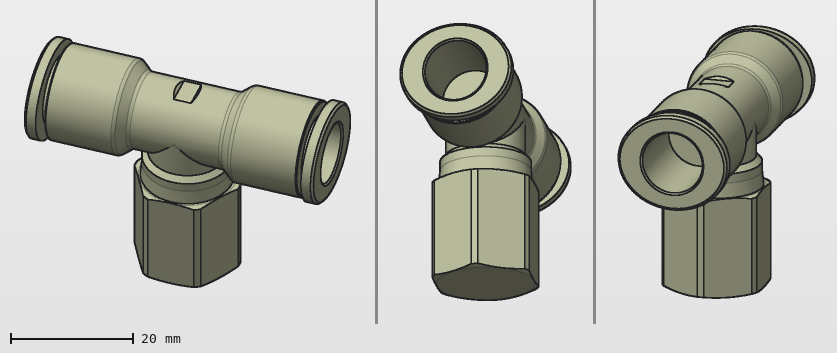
import cadquery as cq
import math

collar_end = 25.0
collar_width_y = 18.5
collar_height_z = 16.1
collar_thickness = 2.05
collar_chamfer = 0.4
neck_radius = 5.85
body_end = 21.8
body_radius = 8.15
body_edge_chamfer = 0.2
shoulder_outer_x = 10.0
shoulder_inner_x = 8.0
shoulder_fillet = 1.0
waist_radius = 6.5
bore_radius = 5.1
bore_chamfer = 0.3
bore_depth = 15.0

notch_floor_z = 6.0
notch_floor_half_length = 1.5
notch_depth = waist_radius - notch_floor_z

flange_radius = 7.45
flange_top_z = -7.25
taper_top_z = -8.75
taper_end_radius = 7.7
hex_top_z = -11.25
hex_bottom_z = -28.2
hex_across_flats = 16.1
hex_across_corner_flats = 17.95
hex_bevel_height = 0.4
flat_to_corner_ratio = math.cos(math.radians(30))


def port():
    """Half of the run on +X: waist, conical shoulder, body, neck, collar and blind bore."""
    collar_start = collar_end - collar_thickness
    turned = (
        cq.Workplane("XZ")
        .lineTo(0, waist_radius)
        .lineTo(shoulder_inner_x, waist_radius)
        .lineTo(shoulder_outer_x, body_radius)
        .lineTo(body_end, body_radius)
        .lineTo(body_end, neck_radius)
        .lineTo(collar_start, neck_radius)
        .lineTo(collar_start, 0)
        .close()
        .revolve(360, (0, 0, 0), (1, 0, 0))
    )
    turned = turned.edges(cq.selectors.RadiusNthSelector(-1)).edges(">X").chamfer(body_edge_chamfer)
    shoulder_zone = cq.selectors.BoxSelector(
        (waist_radius, -collar_width_y, -collar_width_y),
        (shoulder_outer_x + shoulder_fillet, collar_width_y, collar_width_y),
        boundingbox=True,
    )
    turned = turned.edges(shoulder_zone).edges("%CIRCLE").fillet(shoulder_fillet)

    collar = (
        cq.Workplane("YZ", origin=(collar_start, 0, 0))
        .ellipse(collar_width_y / 2, collar_height_z / 2)
        .extrude(collar_thickness)
        .faces(">X")
        .edges()
        .chamfer(collar_chamfer)
    )
    bore = (
        cq.Workplane("YZ", origin=(collar_end, 0, 0))
        .circle(bore_radius)
        .extrude(-bore_depth)
    )
    return turned.union(collar).cut(bore).faces(">X").edges("%CIRCLE").chamfer(bore_chamfer)


def notch():
    """Trapezoidal cutter along Y that leaves a flat on top of the waist."""
    cutter_height = 2 * notch_depth
    top_half_length = notch_floor_half_length + cutter_height
    return (
        cq.Workplane("XZ")
        .moveTo(-notch_floor_half_length, notch_floor_z)
        .lineTo(notch_floor_half_length, notch_floor_z)
        .lineTo(top_half_length, notch_floor_z + cutter_height)
        .lineTo(-top_half_length, notch_floor_z + cutter_height)
        .close()
        .extrude(waist_radius, both=True)
    )


def stem():
    """Round stem of waist radius with a 45 degree flare, a short land and a taper."""
    flare_top_z = flange_top_z + flange_radius - waist_radius
    return (
        cq.Workplane("XZ")
        .lineTo(waist_radius, 0)
        .lineTo(waist_radius, flare_top_z)
        .lineTo(flange_radius, flange_top_z)
        .lineTo(flange_radius, taper_top_z)
        .lineTo(taper_end_radius, hex_top_z)
        .lineTo(0, hex_top_z)
        .close()
        .revolve(360, (0, 0, 0), (0, 1, 0))
    )


def hexagon_prism(across_flats):
    """Hexagonal prism over the full nut height, with corners on the X axis."""
    return (
        cq.Workplane("XY", origin=(0, 0, hex_bottom_z))
        .polygon(6, across_flats / flat_to_corner_ratio)
        .extrude(hex_top_z - hex_bottom_z)
    )


def hexagon():
    """Hexagon with flattened corners, bevelled conically at both ends."""
    end_radius = hex_across_flats / 2
    bevelled_radius = end_radius / flat_to_corner_ratio
    corner_cutter = hexagon_prism(hex_across_corner_flats).rotate((0, 0, 0), (0, 0, 1), 30)
    bevel = (
        cq.Workplane("XZ")
        .moveTo(0, hex_bottom_z)
        .lineTo(end_radius, hex_bottom_z)
        .lineTo(bevelled_radius, hex_bottom_z + hex_bevel_height)
        .lineTo(bevelled_radius, hex_top_z - hex_bevel_height)
        .lineTo(end_radius, hex_top_z)
        .lineTo(0, hex_top_z)
        .close()
        .revolve(360, (0, 0, 0), (0, 1, 0))
    )
    return hexagon_prism(hex_across_flats).intersect(corner_cutter).intersect(bevel)


right_port = port()
left_port = right_port.rotate((0, 0, 0), (0, 0, 1), 180)
result = right_port.union(left_port).clean().cut(notch()).union(stem()).union(hexagon())